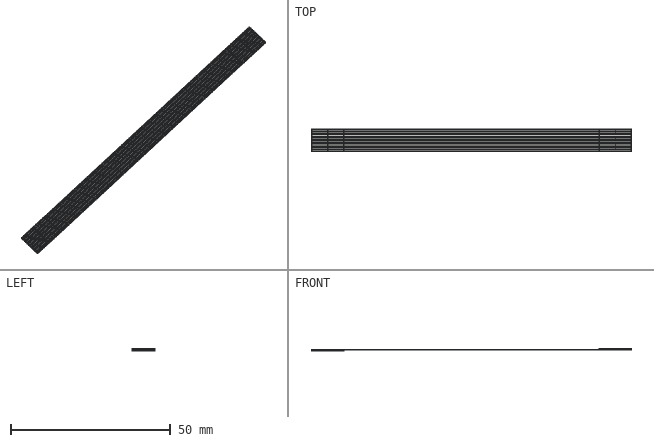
import cadquery as cq

cable_length = 100.0
conductor_count = 6
conductor_pitch = 1.0
conductor_width = 0.7
cable_width = (conductor_count + 1) * conductor_pitch

total_thickness = 0.59
stiffener_thickness = 0.225
conductor_thickness = 0.052
ribbon_thickness = total_thickness - 2 * stiffener_thickness
film_thickness = (ribbon_thickness - conductor_thickness) / 2

contact_length = 5.0
stiffener_length = 10.0

ribbon_bottom = stiffener_thickness
passage_bottom = ribbon_bottom + film_thickness
passage_top = passage_bottom + conductor_thickness
ribbon_top = ribbon_bottom + ribbon_thickness


def layer(start_x, length, bottom_z, thickness, width=cable_width, center_y=0.0):
    """Rectangular layer starting at start_x and resting on bottom_z."""
    return (
        cq.Workplane("XY", origin=(start_x, center_y, bottom_z))
        .box(length, width, thickness, centered=(False, True, False))
    )


def ribbon():
    """Full-length ribbon, without its upper film at the -X end and its lower film at the +X end."""
    upper_opening = layer(0, contact_length, passage_top, film_thickness)
    lower_opening = layer(cable_length - contact_length, contact_length, ribbon_bottom, film_thickness)
    return layer(0, cable_length, ribbon_bottom, ribbon_thickness).cut(upper_opening).cut(lower_opening)


def conductor_passage(index):
    """Flat passage for one conductor along the whole cable."""
    center_y = (index - (conductor_count - 1) / 2) * conductor_pitch
    return layer(0, cable_length, passage_bottom, conductor_thickness, conductor_width, center_y)


def stiffeners():
    """Lower backing at the -X end and upper backing at the +X end."""
    lower = layer(0, stiffener_length, 0, stiffener_thickness)
    upper = layer(cable_length - stiffener_length, stiffener_length, ribbon_top, stiffener_thickness)
    return lower, upper


result = ribbon()
for conductor_index in range(conductor_count):
    result = result.cut(conductor_passage(conductor_index))
for stiffener in stiffeners():
    result = result.union(stiffener)